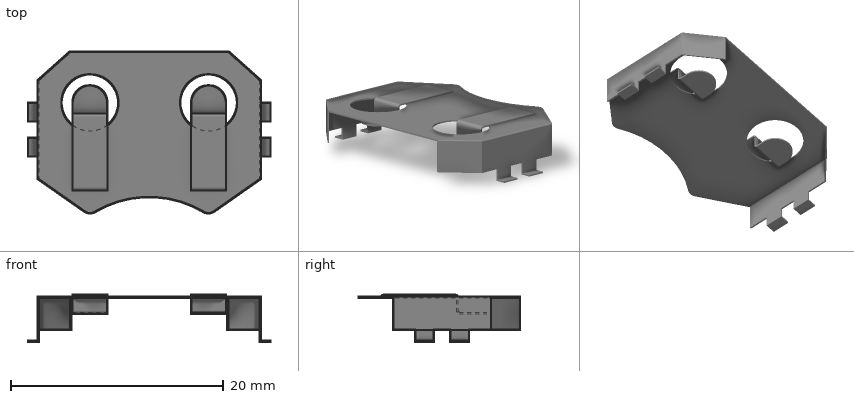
import cadquery as cq
import math


sheet = 0.1524
depth = 15.24
foot_span = 22.86
plate_top = 4.318
plate_bottom = plate_top - sheet

half_width = 10.541
back_y = depth / 2
front_y = -depth / 2
back_corner_x = 7.47
side_middle_y = 0.262
side_length = 9.21
side_back_y = side_middle_y + side_length / 2
side_front_y = side_middle_y - side_length / 2
side_edge_radius = 0.127
diagonal_edge_radius = 0.09

notch_radius = 10.0
notch_top_y = -6.09
notch_center_y = notch_top_y - notch_radius
horn_x = 5.6
horn_tip_radius = 0.9
horn_point_y = notch_center_y + math.sqrt(notch_radius**2 - horn_x**2)

skirt_bottom = 1.17
skirt_inner_x = half_width - sheet
flap_sheet = 0.1016
foot_width = 1.778
foot_pitch = 3.302

finger_x = 5.588
window_y = 2.794
window_diameter = 5.334
finger_width = 3.302
bend_radius = 0.33
heel_radius = 0.24
eighth_turn = math.pi / 4
finger_top = plate_top + sheet
nose_start_y = -5.17
drop_back_y = 1.78
drop_front_y = drop_back_y - sheet
tongue_bottom = 2.65
tongue_top = tongue_bottom + sheet


def make_plate():
    """Flat top plate with rounded bend edges, horns, notch and two windows."""
    plate = (
        cq.Workplane("XY", origin=(0, 0, plate_bottom))
        .moveTo(-back_corner_x, back_y)
        .lineTo(back_corner_x, back_y)
        .lineTo(half_width, side_back_y)
        .lineTo(half_width, side_front_y)
        .lineTo(horn_x, horn_point_y)
        .threePointArc((0, notch_top_y), (-horn_x, horn_point_y))
        .lineTo(-half_width, side_front_y)
        .lineTo(-half_width, side_back_y)
        .close()
        .extrude(sheet)
    )
    for side in (-1, 1):
        horn_middle = (side * horn_x, horn_point_y, plate_bottom + sheet / 2)
        horn_edge = cq.selectors.NearestToPointSelector(horn_middle)
        plate = plate.edges(horn_edge).fillet(horn_tip_radius)

    diagonal_middle_x = (half_width + back_corner_x) / 2
    diagonal_middle_y = (side_back_y + back_y) / 2
    for side in (-1, 1):
        diagonal_bend = (side * diagonal_middle_x, diagonal_middle_y, plate_top)
        side_bend = (side * half_width, side_middle_y, plate_top)
        plate = (
            plate.edges(cq.selectors.NearestToPointSelector(diagonal_bend))
            .fillet(diagonal_edge_radius)
            .edges(cq.selectors.NearestToPointSelector(side_bend))
            .fillet(side_edge_radius)
        )

    windows = (
        cq.Workplane("XY", origin=(0, 0, plate_bottom))
        .pushPoints([(-finger_x, window_y), (finger_x, window_y)])
        .circle(window_diameter / 2)
        .extrude(sheet)
    )
    return plate.cut(windows)


def make_left_skirt():
    """Wall under the left side of the plate, with a thinner flap under the back-left diagonal."""
    turn = math.atan2(half_width - back_corner_x, back_y - side_back_y)
    flap_end_x = -back_corner_x + flap_sheet / math.cos(turn)
    inner_corner_y = side_back_y + sheet / math.tan(turn) - flap_sheet / math.sin(turn)
    return (
        cq.Workplane("XY", origin=(0, 0, skirt_bottom))
        .moveTo(-half_width, side_front_y)
        .lineTo(-half_width, side_back_y)
        .lineTo(-back_corner_x, back_y)
        .lineTo(flap_end_x, back_y)
        .lineTo(-skirt_inner_x, inner_corner_y)
        .lineTo(-skirt_inner_x, side_front_y)
        .close()
        .extrude(plate_bottom - skirt_bottom)
    )


def make_finger(center_x, rounded_heel):
    """Strip lying on the plate, bent down into the window and ending in a round tongue.

    The inner corner between the drop and the tongue is either rounded or sharp.
    """
    nose_angle = math.acos(1 - sheet / bend_radius)
    bend_y = drop_back_y - bend_radius
    bend_z = finger_top - bend_radius
    toe_y = drop_front_y + bend_radius
    toe_z = tongue_bottom + bend_radius
    inner_radius = bend_radius - sheet
    tip_y = window_y + finger_width / 2

    def on_arc(center_y, center_z, radius, angle_from_up):
        return (
            center_y + radius * math.sin(angle_from_up),
            center_z + radius * math.cos(angle_from_up),
        )

    def on_nose(angle):
        return on_arc(nose_start_y, bend_z, bend_radius, -angle)

    profile = (
        cq.Workplane("YZ")
        .moveTo(*on_nose(nose_angle))
        .threePointArc(on_nose(nose_angle / 2), on_nose(0))
        .lineTo(bend_y, finger_top)
        .threePointArc(on_arc(bend_y, bend_z, bend_radius, eighth_turn), (drop_back_y, bend_z))
    )
    if rounded_heel:
        heel_y = drop_back_y + heel_radius
        heel_z = tongue_top + heel_radius
        profile = profile.lineTo(drop_back_y, heel_z).threePointArc(
            on_arc(heel_y, heel_z, heel_radius, -3 * eighth_turn), (heel_y, tongue_top)
        )
    else:
        profile = profile.lineTo(drop_back_y, tongue_top)

    strip = (
        profile.lineTo(tip_y, tongue_top)
        .lineTo(tip_y, tongue_bottom)
        .lineTo(toe_y, tongue_bottom)
        .threePointArc(on_arc(toe_y, toe_z, bend_radius, -3 * eighth_turn), (drop_front_y, toe_z))
        .lineTo(drop_front_y, bend_z)
        .threePointArc(on_arc(bend_y, bend_z, inner_radius, eighth_turn), (bend_y, plate_top))
        .close()
        .extrude(finger_width / 2, both=True)
    )

    outline = (
        cq.Workplane("XY")
        .moveTo(-finger_width / 2, front_y)
        .lineTo(finger_width / 2, front_y)
        .lineTo(finger_width / 2, window_y)
        .threePointArc((0, tip_y), (-finger_width / 2, window_y))
        .close()
        .extrude(finger_top)
    )
    return strip.intersect(outline).translate((center_x, 0, 0))


def make_frame():
    """Plate, both skirts and both spring fingers joined into one sheet-metal body."""
    left_skirt = make_left_skirt()
    left_finger = make_finger(-finger_x, rounded_heel=True)
    right_finger = make_finger(finger_x, rounded_heel=False)
    return (
        make_plate()
        .union(left_skirt)
        .union(left_skirt.mirror("YZ"))
        .union(left_finger)
        .union(right_finger)
    )


def make_foot(side, center_y):
    """L-shaped solder foot under a skirt, turned outward to the given side."""
    return (
        cq.Workplane("XZ", origin=(0, center_y, 0))
        .moveTo(side * foot_span / 2, 0)
        .lineTo(side * skirt_inner_x, 0)
        .lineTo(side * skirt_inner_x, skirt_bottom)
        .lineTo(side * half_width, skirt_bottom)
        .lineTo(side * half_width, sheet)
        .lineTo(side * foot_span / 2, sheet)
        .close()
        .extrude(foot_width / 2, both=True)
    )


frame = make_frame()
feet = []
for side in (-1, 1):
    for row in (-1, 1):
        feet.append(make_foot(side, side_middle_y + row * foot_pitch / 2))

result = cq.Compound.makeCompound([frame.val(), *[foot.val() for foot in feet]])